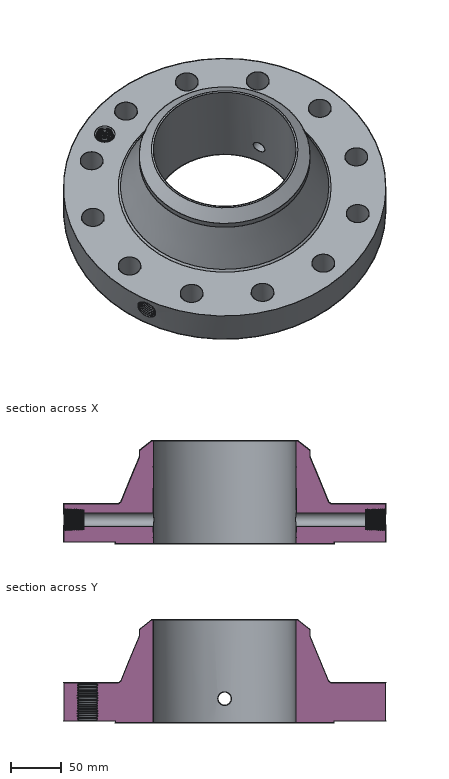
import cadquery as cq
import math

flange_diameter = 317.5
flange_radius = flange_diameter / 2
face_diameter = 216.0
face_height = 1.5
plate_thickness = 38.0
flange_top = face_height + plate_thickness

overall_height = 101.5
bore_diameter = 140.3
land_diameter = 144.0
neck_diameter = 168.3
neck_bottom = 85.7
bevel_bottom = 92.0
hub_diameter = 205.0
foot_width = 2.2
foot_height = 1.5

bolt_circle_diameter = 270.0
bolt_hole_diameter = 22.2
bolt_hole_count = 12

jack_minor_diameter = 16.8
jack_major_diameter = 20.0
jack_pitch = 2.5

tap_height = 23.8
tap_bore_diameter = 13.0
tap_mouth_diameter = 21.3
tap_thread_length = 20.0
tap_pitch = 1.8
tap_thread_depth = 1.43
tap_taper = 1 / 16


def make_body():
    """Revolve the flange and neck, with the bore left open."""
    profile = (
        cq.Workplane("XZ")
        .moveTo(bore_diameter / 2, 0)
        .lineTo(face_diameter / 2, 0)
        .lineTo(face_diameter / 2, face_height)
        .lineTo(flange_radius, face_height)
        .lineTo(flange_radius, flange_top)
        .lineTo(hub_diameter / 2 + foot_width, flange_top)
        .lineTo(hub_diameter / 2, flange_top + foot_height)
        .lineTo(neck_diameter / 2, neck_bottom)
        .lineTo(neck_diameter / 2, bevel_bottom)
        .lineTo(land_diameter / 2, overall_height)
        .lineTo(bore_diameter / 2, overall_height)
        .close()
    )
    return profile.revolve(360, (0, 0, 0), (0, 1, 0))


def threaded_cutter(major_diameter, thread_depth, pitch, length, taper=0):
    """Return a +Z cutter from the origin whose V rings stand for the threads.

    The diameter shrinks by the taper times the distance from the origin.
    """
    def root_radius(distance):
        return (major_diameter - taper * distance) / 2

    ring_count = math.floor(length / pitch)
    ring_length = length / ring_count
    profile = cq.Workplane("XZ").moveTo(0, 0).lineTo(root_radius(0), 0)
    for ring in range(ring_count):
        crest_at = (ring + 0.5) * ring_length
        root_at = (ring + 1) * ring_length
        profile = profile.lineTo(root_radius(crest_at) - thread_depth, crest_at)
        profile = profile.lineTo(root_radius(root_at), root_at)
    profile = profile.lineTo(0, length).close()
    return profile.revolve(360, (0, 0, 0), (0, 1, 0))


def bolt_hole_cutters():
    first_angle = 180 / bolt_hole_count
    return (
        cq.Workplane("XY")
        .polarArray(bolt_circle_diameter / 2, first_angle, 360, bolt_hole_count)
        .circle(bolt_hole_diameter / 2)
        .extrude(flange_top)
    )


def jack_screw_cutter():
    thread_depth = (jack_major_diameter - jack_minor_diameter) / 2
    cutter = threaded_cutter(jack_major_diameter, thread_depth, jack_pitch, plate_thickness)
    return cutter.translate((-bolt_circle_diameter / 2, 0, face_height))


def pressure_tap_cutter():
    """Tapered thread at the rim with a plain hole on into the bore, on the -Y side."""
    thread = threaded_cutter(
        tap_mouth_diameter, tap_thread_depth, tap_pitch, tap_thread_length, tap_taper
    )
    plain_hole = cq.Workplane("XY").circle(tap_bore_diameter / 2).extrude(flange_radius)
    cutter = thread.union(plain_hole).rotate((0, 0, 0), (1, 0, 0), -90)
    return cutter.translate((0, -flange_radius, tap_height))


pressure_tap = pressure_tap_cutter()
opposite_tap = pressure_tap.rotate((0, 0, 0), (0, 0, 1), 180)

result = (
    make_body()
    .cut(bolt_hole_cutters())
    .cut(jack_screw_cutter())
    .cut(pressure_tap)
    .cut(opposite_tap)
)